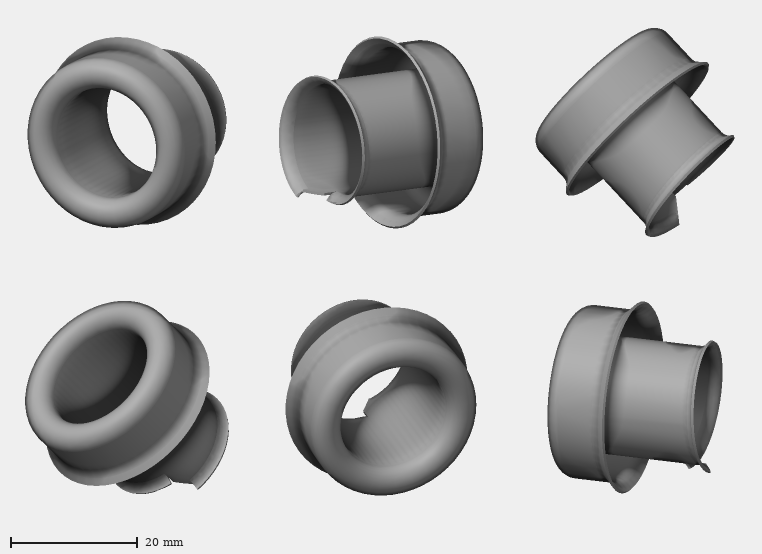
import cadquery as cq
import math

cut_margin = 0.6
body_radius = 27.5 / 2
body_bore_radius = 26.7 / 2
wall = body_radius - body_bore_radius
tube_radius = 18.7 / 2
tube_bore_radius = tube_radius - wall
roll_radius = (body_radius - tube_bore_radius) / 2
roll_center_radius = body_radius - roll_radius

collar_radius = 15.25
collar_start = 7.92
collar_bend = 2.0
collar_angle = 45.0

lip_start = 18.55
lip_top = 24.65
lip_bend = 1.68
lip_angle = 68.0
lip_start_angle = 80.0
lip_sweep = 347.0
lip_height = (lip_bend + wall) * math.sin(math.radians(lip_angle))
lip_rise = lip_top - lip_height - lip_start
lip_pitch = lip_rise * 360 / lip_sweep

step_slope = 1.4
step_foot_x = 1.22
step_foot_y = lip_start + lip_height
step_top_y = lip_top + cut_margin
step_clear_x = -1.22


def bend_point(start_radius, start_height, bend, angle, inset=0.0):
    """Point on an outward bend; inset moves it to the bore side of the wall."""
    a = math.radians(angle)
    radius = bend + inset
    return (start_radius + bend - radius * math.cos(a), start_height + radius * math.sin(a))


def make_sleeve():
    """Rolled front, outer collar and inner tube, as one revolved wall."""
    bend_end = bend_point(body_radius, collar_start, collar_bend, collar_angle)
    half_bend = bend_point(body_radius, collar_start, collar_bend, collar_angle / 2)
    inner_end = bend_point(body_radius, collar_start, collar_bend, collar_angle, wall)
    inner_half = bend_point(body_radius, collar_start, collar_bend, collar_angle / 2, wall)
    cone_run = collar_radius - bend_end[0]
    profile = (
        cq.Workplane("XZ")
        .moveTo(tube_bore_radius, step_top_y)
        .lineTo(tube_bore_radius, roll_radius)
        .threePointArc((roll_center_radius, 0), (body_radius, roll_radius))
        .lineTo(body_radius, collar_start)
        .threePointArc(half_bend, bend_end)
        .lineTo(collar_radius, bend_end[1] + cone_run)
        .lineTo(inner_end[0] + cone_run, inner_end[1] + cone_run)
        .lineTo(*inner_end)
        .threePointArc(inner_half, (body_bore_radius, collar_start))
        .lineTo(body_bore_radius, roll_radius)
        .threePointArc((roll_center_radius, wall), (tube_radius, roll_radius))
        .lineTo(tube_radius, step_top_y)
        .close()
    )
    return profile.revolve(360, (0, 0, 0), (0, 1, 0))


def sweep_helix(profile):
    """Sweep a radial profile along the lip helix."""
    helix = cq.Wire.makeHelix(lip_pitch, lip_rise, tube_radius, cq.Vector(0, 0, lip_start))
    swept = profile.sweep(cq.Workplane(helix), isFrenet=True)
    return swept.rotate((0, 0, 0), (0, 0, 1), lip_start_angle)


def make_tube_end_cut():
    """Helical cut that removes the tube wall above the foot of the lip."""
    cut_height = step_top_y - lip_start + cut_margin
    inner = tube_bore_radius - cut_margin
    outer = tube_radius + cut_margin
    profile = (
        cq.Workplane("XZ")
        .moveTo(inner, lip_start)
        .lineTo(outer, lip_start)
        .lineTo(outer, lip_start + cut_height)
        .lineTo(inner, lip_start + cut_height)
        .close()
    )
    return sweep_helix(profile)


def make_lip():
    """Curved lip that flares outward from the helical end of the tube."""
    half = lip_angle / 2
    profile = (
        cq.Workplane("XZ")
        .moveTo(tube_radius, lip_start)
        .threePointArc(
            bend_point(tube_radius, lip_start, lip_bend, half),
            bend_point(tube_radius, lip_start, lip_bend, lip_angle),
        )
        .lineTo(*bend_point(tube_radius, lip_start, lip_bend, lip_angle, wall))
        .threePointArc(
            bend_point(tube_radius, lip_start, lip_bend, half, wall),
            (tube_bore_radius, lip_start),
        )
        .close()
    )
    return sweep_helix(profile)


def make_step_cut():
    """Prism that trims the wall between the lip ends along a slope."""
    step_top_x = step_foot_x + (step_top_y - step_foot_y) / step_slope
    return (
        cq.Workplane("XY")
        .moveTo(step_clear_x, step_foot_y)
        .lineTo(step_foot_x, step_foot_y)
        .lineTo(step_top_x, step_top_y)
        .lineTo(step_clear_x, step_top_y)
        .close()
        .extrude(-collar_radius)
    )


trimmed_sleeve = make_sleeve().cut(make_tube_end_cut())
lipped_sleeve = trimmed_sleeve.union(make_lip())
result = lipped_sleeve.rotate((0, 0, 0), (1, 0, 0), -90).cut(make_step_cut())